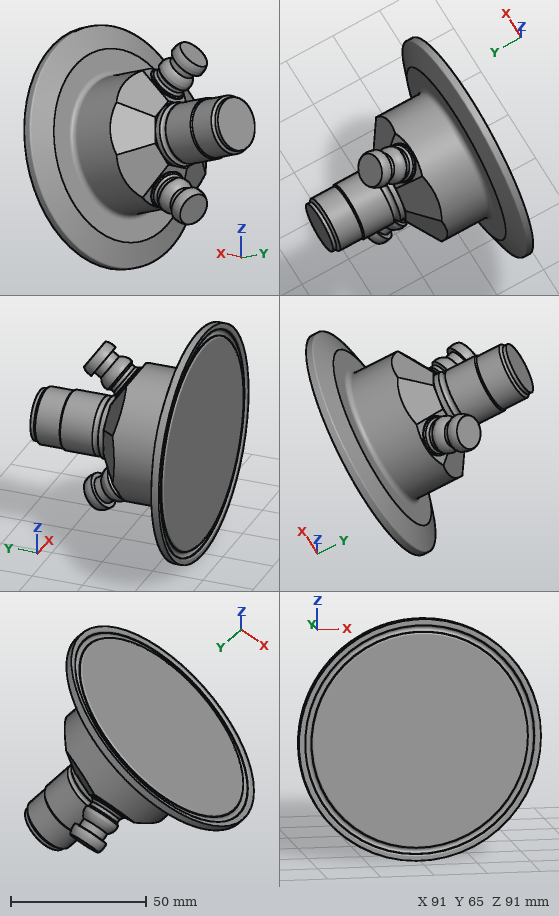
import cadquery as cq
import math


flange_radius = 45.5
flange_height = 6.4
flange_flat_radius = 36.2
clamp_angle = 20.0
rim_round = 0.7

groove_radius = 41.9
groove_half_width = 2.0
groove_wall_half_width = 1.3
groove_bottom_half_width = 1.1
groove_lip_depth = 0.7
groove_wall_depth = 0.9
groove_depth = 1.8

drum_radius = 52.0 / 2
drum_round = 2.0
facet_count = 8
facet_angle = 35.0
shoulder_y = 35.1
collar_radius = 24.0 / 2

nipple_seat_radius = 19.75
nipple_length = 16.6
nipple_root = 1.8
nipple_tip_radius = 12.5 / 2
nipple_head_radius = 14.0 / 2
nipple_neck_radius = 10.5 / 2
nipple_waist_radius = 6.1
nipple_foot_radius = 7.4
nipple_foot_height = 0.5
nipple_flare_radius = 6.8
nipple_flare_height = 0.9
nipple_waist_base = 2.1
nipple_waist_top = 3.6
nipple_bulge_base = 4.4
nipple_bulge_top = 6.0
nipple_bulge_swell = 0.4
nipple_neck_base = 9.1
nipple_head_base = 12.3
nipple_head_round_base = 14.1

connector_end_y = 65.0
collar_height = 2.2
sleeve_radius = 23.0 / 2
barrel_radius = 22.0 / 2
spigot_radius = 20.0 / 2
neck_depth = 0.3
sleeve_base_y = 39.8
sleeve_top_y = 52.4
barrel_base_y = 53.0
barrel_top_y = 62.5
spigot_base_y = 63.5


def revolve_about_y(profile):
    return profile.close().revolve(360, (0, 0, 0), (0, 1, 0))


def make_flange():
    edge_height = flange_height - (flange_radius - flange_flat_radius) * math.tan(math.radians(clamp_angle))
    flange = revolve_about_y(
        cq.Workplane("XY")
        .lineTo(flange_radius, 0)
        .lineTo(flange_radius, edge_height)
        .lineTo(flange_flat_radius, flange_height)
        .lineTo(0, flange_height)
    )
    rim_selector = cq.selectors.BoxSelector(
        (-flange_radius - 0.9, edge_height - 0.1, -flange_radius - 0.9),
        (flange_radius + 0.9, edge_height + 0.1, flange_radius + 0.9),
    )
    return flange.edges(rim_selector).fillet(rim_round)


def cut_face_groove(body):
    """Round-bottomed ring groove with rounded lips and short slanted walls."""
    lip_width = groove_half_width - groove_wall_half_width
    lip_mid_half_width = groove_half_width - lip_width * math.sqrt(0.5)
    lip_mid_depth = groove_lip_depth * (1 - math.sqrt(0.5))
    inner = groove_radius - groove_half_width
    outer = groove_radius + groove_half_width
    groove = revolve_about_y(
        cq.Workplane("XY")
        .moveTo(inner, 0)
        .threePointArc(
            (groove_radius - lip_mid_half_width, lip_mid_depth),
            (groove_radius - groove_wall_half_width, groove_lip_depth),
        )
        .lineTo(groove_radius - groove_bottom_half_width, groove_wall_depth)
        .threePointArc(
            (groove_radius, groove_depth),
            (groove_radius + groove_bottom_half_width, groove_wall_depth),
        )
        .lineTo(groove_radius + groove_wall_half_width, groove_lip_depth)
        .threePointArc((groove_radius + lip_mid_half_width, lip_mid_depth), (outer, 0))
    )
    return body.cut(groove)


def make_drum():
    """Round drum whose end is an octagonal pyramid frustum tangent to the collar."""
    fall = math.tan(math.radians(facet_angle))
    facet_base_y = shoulder_y - (drum_radius - collar_radius) * fall
    drum = revolve_about_y(
        cq.Workplane("XY")
        .lineTo(drum_radius, 0)
        .lineTo(drum_radius, shoulder_y)
        .lineTo(0, shoulder_y)
    )
    wedge = (
        cq.Workplane("XY")
        .moveTo(collar_radius, shoulder_y)
        .lineTo(2 * drum_radius, shoulder_y)
        .lineTo(2 * drum_radius, facet_base_y - drum_radius * fall)
        .close()
        .extrude(drum_radius, both=True)
    )
    for index in range(facet_count):
        drum = drum.cut(wedge.rotate((0, 0, 0), (0, 1, 0), index * 360 / facet_count))
    return drum


def make_nipple(side):
    """Nipple on the facet facing +Z (side = 1) or -Z (side = -1)."""
    facet_y = shoulder_y - (nipple_seat_radius - collar_radius) * math.tan(math.radians(facet_angle))
    head_mid_radius = nipple_head_radius - 0.25 * (nipple_head_radius - nipple_tip_radius)
    head_mid_height = (nipple_head_round_base + nipple_length) / 2
    bulge_mid_radius = (nipple_head_radius + nipple_neck_radius) / 2 + nipple_bulge_swell
    bulge_mid_height = (nipple_bulge_top + nipple_neck_base) / 2
    nipple = revolve_about_y(
        cq.Workplane("XY")
        .moveTo(0, -nipple_root)
        .lineTo(nipple_foot_radius, -nipple_root)
        .lineTo(nipple_foot_radius, nipple_foot_height)
        .lineTo(nipple_flare_radius, nipple_flare_height)
        .lineTo(nipple_waist_radius, nipple_waist_base)
        .lineTo(nipple_waist_radius, nipple_waist_top)
        .lineTo(nipple_head_radius, nipple_bulge_base)
        .lineTo(nipple_head_radius, nipple_bulge_top)
        .threePointArc((bulge_mid_radius, bulge_mid_height), (nipple_neck_radius, nipple_neck_base))
        .lineTo(nipple_neck_radius, nipple_head_base)
        .lineTo(nipple_head_radius, nipple_head_base)
        .lineTo(nipple_head_radius, nipple_head_round_base)
        .threePointArc((head_mid_radius, head_mid_height), (nipple_tip_radius, nipple_length))
        .lineTo(0, nipple_length)
    )
    tilted = nipple.rotate((0, 0, 0), (1, 0, 0), side * facet_angle)
    return tilted.translate((0, facet_y, side * nipple_seat_radius))


def make_housing():
    housing = make_flange().union(make_drum())
    corner_box = drum_radius + 0.1
    drum_corner = cq.selectors.BoxSelector(
        (-corner_box, flange_height - 0.1, -corner_box),
        (corner_box, flange_height + 0.1, corner_box),
        boundingbox=True,
    )
    housing = housing.edges(drum_corner).fillet(drum_round)
    housing = cut_face_groove(housing)
    for side in (1, -1):
        housing = housing.union(make_nipple(side))
    return housing


def make_connector():
    """Stepped round connector standing on the shoulder of the housing."""
    collar_top_y = shoulder_y + collar_height
    neck_y = (collar_top_y + sleeve_base_y) / 2
    return revolve_about_y(
        cq.Workplane("XY")
        .moveTo(0, shoulder_y)
        .lineTo(collar_radius, shoulder_y)
        .lineTo(collar_radius, collar_top_y)
        .threePointArc((barrel_radius - neck_depth, neck_y), (sleeve_radius, sleeve_base_y))
        .lineTo(sleeve_radius, sleeve_top_y)
        .lineTo(barrel_radius, barrel_base_y)
        .lineTo(barrel_radius, barrel_top_y)
        .lineTo(spigot_radius, spigot_base_y)
        .lineTo(spigot_radius, connector_end_y)
        .lineTo(0, connector_end_y)
    )


housing = make_housing()
connector = make_connector()
result = cq.Compound.makeCompound([housing.val(), connector.val()])